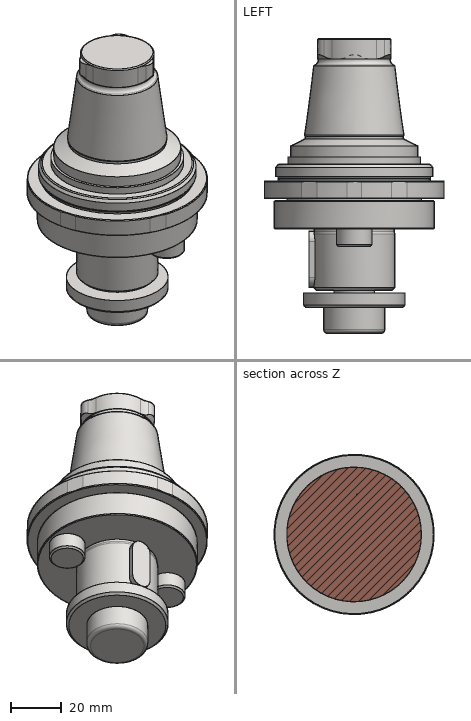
import cadquery as cq
import math

screw_head_bottom = 0.0
washer_bottom = 10.2
washer_top = 16.0
arbor_bottom = 16.9
arbor_relief_bottom = 39.1
flange_bottom = 41.1
flange_top = 52.2
nut_bottom = 53.0
nut_top = 60.0
slot_bottom = 60.7
slot_top = 61.1
collar_bottom = 61.7
collar_top = 66.7
step_top = 69.5
cone_bottom = 73.8
cone_top = 76.6
neck_top = 77.5
taper_bottom = 78.0
taper_top = 105.2
drive_bottom = 107.9
drive_top = 116.0

screw_head_radius = 24.0 / 2
screw_shank_radius = 16.0 / 2
washer_radius = 40.0 / 2
arbor_radius = 32.0 / 2
arbor_relief_radius = 31.5 / 2
flange_radius = 63.0 / 2
flange_neck_radius = 53.0 / 2
nut_radius = 35.5
collar_groove_radius = 60.1 / 2
slot_radius = 29.3
collar_radius = 62.0 / 2
step_radius = 26.1
cone_radius = 50.0 / 2
taper_large_radius = 19.6
neck_radius = 19.4
taper_small_radius = arbor_radius
drive_radius = 14.5

small_chamfer = 0.3
drive_chamfer = 0.5
washer_chamfer = 0.9
arbor_chamfer = 1.2
arbor_relief_slope = 0.9
collar_chamfer_width = 0.9
collar_chamfer_height = 1.5
collar_lip_width = 0.6
collar_lip_height = 0.3
screw_head_round = 1.5

undercut_lip = 0.3
undercut_floor_radius = 15.5
undercut_middle = (14.6, 106.3)
undercut_top_radius = 14.3

lug_count = 3
lug_tip_radius = 16.1
lug_arc_radius = 4.1
lug_blend_radius = 11.6
lug_bottom_chamfer = 1.7

flat_depth = 0.17
single_flat_depth = 0.1
flat_distance = nut_radius - flat_depth
flat_angles = range(30, 360, 60)
single_flat_distance = nut_radius - single_flat_depth
single_flat_angle = 180

stud_radius = 14.0 / 2
stud_offset = 23.2
stud_bottom = 34.2
stud_chamfer = 0.7

key_width = 8.0
key_bottom = 18.1
key_top = 40.3
key_outer_y = 17.9
key_inner_y = 11.6


def cylinder(radius, bottom, top):
    return cq.Workplane("XY").workplane(offset=bottom).circle(radius).extrude(top - bottom)


def turned_body():
    """Revolve the stepped shaft, washer, collar, taper and undercut."""
    return (
        cq.Workplane("XZ")
        .moveTo(0, washer_bottom)
        .lineTo(washer_radius - washer_chamfer, washer_bottom)
        .lineTo(washer_radius, washer_bottom + washer_chamfer)
        .lineTo(washer_radius, washer_top)
        .lineTo(screw_shank_radius, washer_top)
        .lineTo(screw_shank_radius, arbor_bottom)
        .lineTo(arbor_radius - arbor_chamfer, arbor_bottom)
        .lineTo(arbor_radius, arbor_bottom + arbor_chamfer)
        .lineTo(arbor_radius, arbor_relief_bottom)
        .lineTo(arbor_relief_radius, arbor_relief_bottom + arbor_relief_slope)
        .lineTo(arbor_relief_radius, flange_bottom)
        .lineTo(flange_radius - small_chamfer, flange_bottom)
        .lineTo(flange_radius, flange_bottom + small_chamfer)
        .lineTo(flange_radius, flange_top - small_chamfer)
        .lineTo(flange_radius - small_chamfer, flange_top)
        .lineTo(flange_neck_radius, flange_top)
        .lineTo(flange_neck_radius, nut_bottom)
        .lineTo(nut_radius - small_chamfer, nut_bottom)
        .lineTo(nut_radius, nut_bottom + small_chamfer)
        .lineTo(nut_radius, nut_top - small_chamfer)
        .lineTo(nut_radius - small_chamfer, nut_top)
        .lineTo(collar_groove_radius, nut_top)
        .lineTo(collar_groove_radius, slot_bottom)
        .lineTo(slot_radius, slot_bottom)
        .lineTo(slot_radius, slot_top)
        .lineTo(collar_groove_radius, slot_top)
        .lineTo(collar_groove_radius, collar_bottom)
        .lineTo(collar_radius, collar_bottom)
        .lineTo(collar_radius, collar_top - collar_chamfer_height)
        .lineTo(collar_radius - collar_chamfer_width, collar_top - collar_lip_height)
        .lineTo(collar_radius - collar_chamfer_width - collar_lip_width, collar_top)
        .lineTo(step_radius, collar_top)
        .lineTo(step_radius, step_top)
        .lineTo(cone_radius, step_top)
        .lineTo(cone_radius, cone_bottom)
        .lineTo(neck_radius, cone_top)
        .lineTo(neck_radius, neck_top)
        .lineTo(taper_large_radius, taper_bottom)
        .lineTo(taper_small_radius, taper_top)
        .lineTo(undercut_floor_radius, taper_top + undercut_lip)
        .threePointArc(undercut_middle, (undercut_top_radius, drive_bottom))
        .lineTo(0, drive_bottom)
        .close()
        .revolve(360, (0, 0), (0, 1))
    )


def screw_head():
    head = cylinder(screw_head_radius, screw_head_bottom, washer_bottom)
    return head.faces("<Z").edges().fillet(screw_head_round)


def lug_outline():
    """Outline of a lug on +X: a rounded nose blended tangentially into the drive head."""
    nose_centre = lug_tip_radius - lug_arc_radius
    head_to_blend = drive_radius + lug_blend_radius
    nose_to_blend = lug_arc_radius + lug_blend_radius
    blend_x = (head_to_blend**2 - nose_to_blend**2 + nose_centre**2) / (2 * nose_centre)
    blend_y = math.sqrt(head_to_blend**2 - blend_x**2)
    root_x = blend_x * drive_radius / head_to_blend
    root_y = blend_y * drive_radius / head_to_blend
    nose_x = nose_centre + (blend_x - nose_centre) * lug_arc_radius / nose_to_blend
    nose_y = blend_y * lug_arc_radius / nose_to_blend
    half_x = (root_x + nose_x) / 2 - blend_x
    half_y = (root_y + nose_y) / 2 - blend_y
    reach = lug_blend_radius / math.hypot(half_x, half_y)
    middle_x = blend_x + half_x * reach
    middle_y = blend_y + half_y * reach
    return (
        cq.Workplane("XY")
        .workplane(offset=drive_bottom)
        .lineTo(root_x, -root_y)
        .threePointArc((middle_x, -middle_y), (nose_x, -nose_y))
        .threePointArc((lug_tip_radius, 0), (nose_x, nose_y))
        .threePointArc((middle_x, middle_y), (root_x, root_y))
        .close()
    )


def drive_head():
    head = cylinder(drive_radius, drive_bottom, drive_top).faces(">Z").chamfer(drive_chamfer)
    lug_height = drive_top - drive_chamfer - drive_bottom
    lug_envelope = cylinder(lug_tip_radius, drive_bottom, drive_top)
    lug_envelope = lug_envelope.faces("<Z").chamfer(lug_bottom_chamfer)
    lug = lug_outline().extrude(lug_height).intersect(lug_envelope)
    for index in range(lug_count):
        head = head.union(lug.rotate((0, 0, 0), (0, 0, 1), index * 360 / lug_count))
    return head


def nut_flat_cutter(angle, distance):
    """Block whose inner face trims the nut rim at the given distance from the axis."""
    return (
        cq.Workplane("XY")
        .box(nut_radius, nut_radius, nut_top - nut_bottom, centered=(False, True, False))
        .translate((distance, 0, nut_bottom))
        .rotate((0, 0, 0), (0, 0, 1), angle)
    )


def stud(side):
    pin = cylinder(stud_radius, stud_bottom, flange_bottom).faces("<Z").chamfer(stud_chamfer)
    return pin.translate((side * stud_offset, 0, 0))


def feather_key():
    return (
        cq.Workplane("XZ", origin=(0, key_inner_y, 0))
        .center(0, (key_bottom + key_top) / 2)
        .slot2D(key_top - key_bottom, key_width, 90)
        .extrude(key_inner_y - key_outer_y)
    )


result = turned_body().union(screw_head()).union(drive_head())
for flat_angle in flat_angles:
    result = result.cut(nut_flat_cutter(flat_angle, flat_distance))
result = result.cut(nut_flat_cutter(single_flat_angle, single_flat_distance))
for stud_side in (-1, 1):
    result = result.union(stud(stud_side))
result = result.union(feather_key())